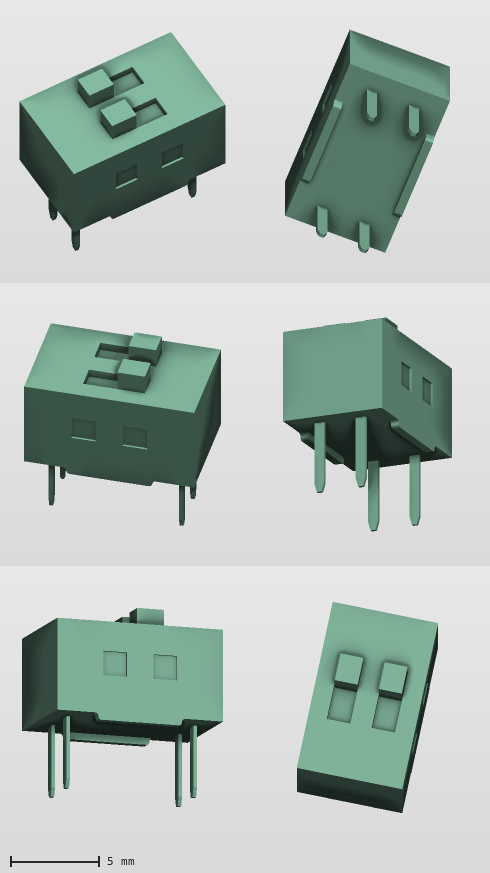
import cadquery as cq


housing_width = 6.08
housing_length = 9.9
housing_height = 5.3
wall = 0.5

skirt_height = 0.4
skirt_half_length = 2.5

window_size = 1.4
window_pitch = 3.0
window_top_drop = 1.71
window_depth = 0.14

switch_pitch = 2.54
pin_row_pitch = 7.59

slider_width = 1.32
slider_length = 1.59
slider_rise = 1.15

well_length = 3.6
well_side_gap = 0.03

pin_width = 0.6
pin_thickness = 0.21
pin_drop = 4.1
pin_tip_width = 0.3
pin_tip_height = 0.52

cavity_width = housing_width - 2 * wall
cavity_length = housing_length - 2 * wall
core_height = housing_height - wall
skirt_radius = skirt_height / 2
well_width = slider_width + well_side_gap
well_x = (switch_pitch + well_side_gap) / 2
slider_y = (slider_length - well_length) / 2
window_x = (housing_width - window_depth) / 2
window_bottom = housing_height - window_top_drop - window_size
both_sides = (-1, 1)


def block(width, length, height, x=0, y=0, bottom=0):
    """A box centred on (x, y) that stands at height `bottom`."""
    box = cq.Workplane("XY").box(width, length, height, centered=(True, True, False))
    return box.translate((x, y, bottom))


def make_skirts():
    """Two thin skirts whose ends sweep down from the housing in an S of two quarter circles."""
    flare_end = skirt_half_length + skirt_radius
    flat_end = skirt_half_length - skirt_radius
    profile = (
        cq.Workplane("YZ")
        .moveTo(-flare_end, 0)
        .radiusArc((-skirt_half_length, -skirt_radius), skirt_radius)
        .radiusArc((-flat_end, -skirt_height), -skirt_radius)
        .lineTo(flat_end, -skirt_height)
        .radiusArc((skirt_half_length, -skirt_radius), -skirt_radius)
        .radiusArc((flare_end, 0), skirt_radius)
        .close()
    )
    full_skirt = profile.extrude(housing_width / 2, both=True)
    return full_skirt.cut(block(cavity_width, housing_length, skirt_height, bottom=-skirt_height))


def make_housing():
    """A shell open at the bottom, with a well for each slider and shallow windows in its long sides."""
    housing = block(housing_width, housing_length, housing_height)
    housing = housing.cut(block(cavity_width, cavity_length, core_height))
    housing = housing.union(make_skirts())
    for x_side in both_sides:
        housing = housing.cut(block(well_width, well_length, wall, x_side * well_x, 0, core_height))
        for y_side in both_sides:
            window_y = y_side * window_pitch / 2
            window = block(window_depth, window_size, window_size, x_side * window_x, window_y, window_bottom)
            housing = housing.cut(window)
    return housing


def make_pin(x, y):
    """A flat pin that hangs below Z = 0 and tapers at its tip."""
    outline = [
        (-pin_width / 2, 0),
        (-pin_width / 2, pin_tip_height - pin_drop),
        (-pin_tip_width / 2, -pin_drop),
        (pin_tip_width / 2, -pin_drop),
        (pin_width / 2, pin_tip_height - pin_drop),
        (pin_width / 2, 0),
    ]
    pin = cq.Workplane("XZ").polyline(outline).close().extrude(pin_thickness / 2, both=True)
    return pin.translate((x, y, 0))


def make_core():
    """The core that fills the housing and carries all four pins."""
    core = block(cavity_width, cavity_length, core_height)
    for x_side in both_sides:
        for y_side in both_sides:
            core = core.union(make_pin(x_side * switch_pitch / 2, y_side * pin_row_pitch / 2))
    return core


def make_slider(x):
    """A slider that stands on the core, at the -Y end of its well."""
    return block(slider_width, slider_length, wall + slider_rise, x, slider_y, core_height)


housing = make_housing()
core = make_core()
sliders = [make_slider(side * switch_pitch / 2) for side in both_sides]

result = cq.Compound.makeCompound([housing.val(), core.val(), *[slider.val() for slider in sliders]])